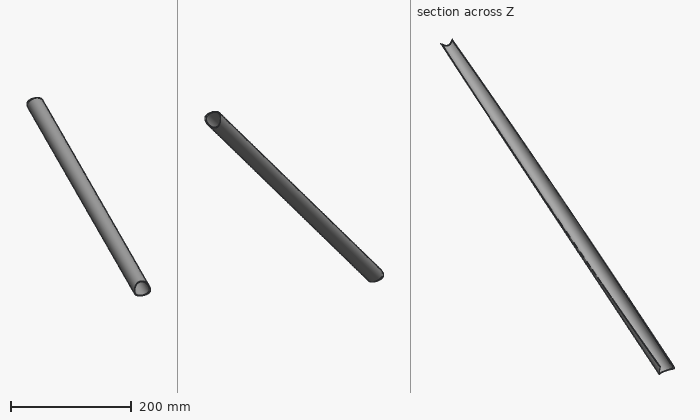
import cadquery as cq

tube_diameter = 28.0
wall = 1.5
axis_run = 798.5
axis_fall_y = 95.0
axis_fall_z = 18.0
blank_extension = 40.0

left_cope_diameter = 29.0
left_cope_lean = 0.17
right_cope_diameter = 29.0
right_cope_lean = -0.07
cope_reach = 79.0

axis = cq.Vector(axis_run, -axis_fall_y, -axis_fall_z)
direction = axis.normalized()
left_centre = axis * -0.5
right_centre = axis * 0.5


def tube_blank():
    """Plain hollow tube, longer than the finished part."""
    start = left_centre - direction * blank_extension
    length = axis.Length + 2 * blank_extension
    plane = cq.Plane(origin=start, normal=direction)
    outer_radius = tube_diameter / 2
    return cq.Workplane(plane).circle(outer_radius).circle(outer_radius - wall).extrude(length)


def cope_cutter(centre, diameter, lean, outward):
    """Leaning cross cylinder, joined to a block that clears everything beyond its axis."""
    up = cq.Vector(-lean, 0, 1)
    plane = cq.Plane(origin=centre, xDir=outward - up * (outward.dot(up) / up.dot(up)), normal=up)
    cross_tube = cq.Workplane(plane).circle(diameter / 2).extrude(cope_reach, both=True)
    waste = (
        cq.Workplane(plane)
        .center(cope_reach / 2, 0)
        .rect(cope_reach, cope_reach)
        .extrude(cope_reach, both=True)
    )
    return cross_tube.union(waste)


left_cutter = cope_cutter(left_centre, left_cope_diameter, left_cope_lean, direction * -1)
right_cutter = cope_cutter(right_centre, right_cope_diameter, right_cope_lean, direction)

result = tube_blank().cut(left_cutter).cut(right_cutter)